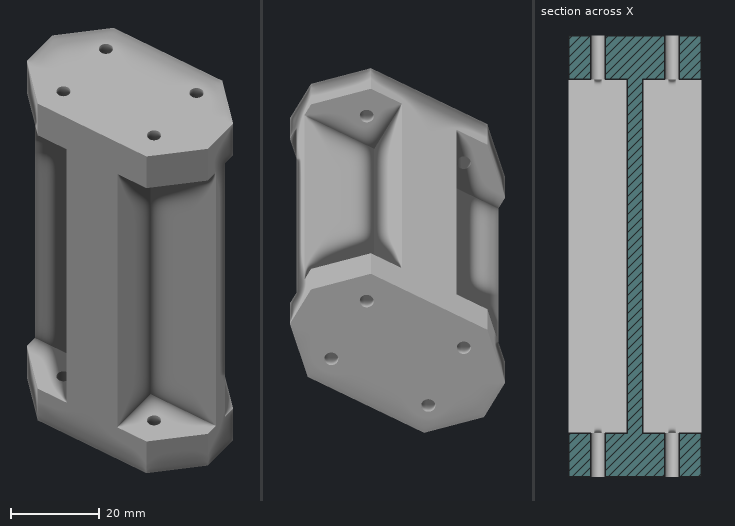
import cadquery as cq

length = 50.0
depth = 30.0
height = 100.0

plate_thickness = 10.0
corner_chamfer = 10.0

web_thickness = 3.7
core_width = 14.0

hole_diameter = 3.2
hole_spacing_x = 25.0
hole_spacing_y = 16.8


def end_plate(bottom_z):
    """Octagonal plate with its lower face at bottom_z."""
    plate = cq.Workplane("XY").box(length, depth, plate_thickness, centered=(True, True, False))
    return plate.edges("|Z").chamfer(corner_chamfer).translate((0, 0, bottom_z))


def column():
    """Thin web along X crossed by a full-depth core."""
    web = cq.Workplane("XY").box(length, web_thickness, height, centered=(True, True, False))
    core = cq.Workplane("XY").box(core_width, depth, height, centered=(True, True, False))
    return web.union(core)


def bolt_holes():
    """Four vertical cylinders in a rectangular pattern."""
    return (
        cq.Workplane("XY")
        .rarray(hole_spacing_x, hole_spacing_y, 2, 2)
        .circle(hole_diameter / 2)
        .extrude(height)
    )


body = column().union(end_plate(0)).union(end_plate(height - plate_thickness))
result = body.cut(bolt_holes())